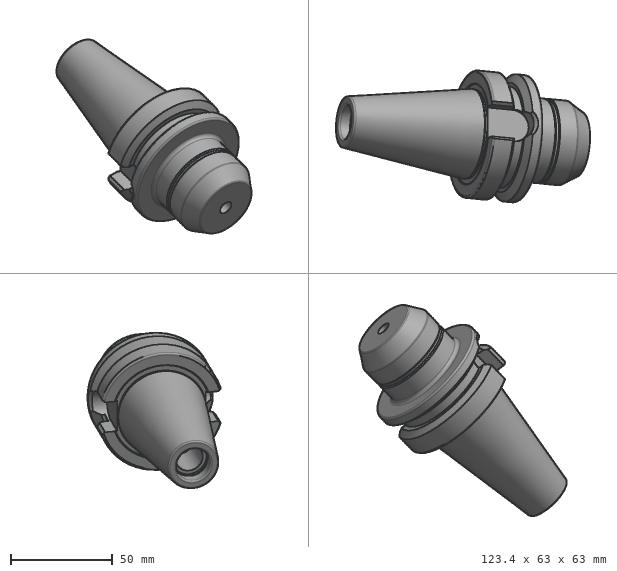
import cadquery as cq
import math

length = 123.4
taper_end = 65.2
neck_start = 65.6
relief_face = 66.6
flange_face = 66.3
flange_back = 77.0
v_groove_start = 79.2
v_groove_end = 84.5
collar_start = 87.1
collar_face = 92.3
nose_start = 114.6

taper_small_radius = 12.8
taper_large_radius = 22.3
neck_radius = 44.0 / 2
relief_radius = 24.7
flange_radius = 63.0 / 2
v_groove_floor_radius = 25.2
body_radius = 42 / 2
nose_angle = 30
v_groove_flank_angle = 60

rim_round = 1.0
taper_round = 0.9
body_fillet = 1.9
nose_round = 0.9
relief_bevel = relief_face - flange_face

body_groove_start = 102.8
body_groove_floor_start = 103.7
body_groove_floor_end = 105.0
body_groove_end = 105.5
body_groove_radius = 41.0 / 2

slot_half_width = 8.0
slot_floor = 22.5
slot_center_x = 80.2
wall_bevel_start = 28.6
end_bevel_start = 29.9

counterbore_radius = 17.0 / 2
counterbore_depth = 6.0
bore_mouth_round = 1.0
bore_undercut_radius = 17.6 / 2
bore_undercut_start = 6.9
bore_undercut_end = 9.0
thread_radius = 13.8 / 2
thread_depth = 29.6
through_radius = 6.9 / 2
drill_point_half_angle = 59


def corner_arc(start, corner, end):
    """Midpoint of a quarter round that replaces a square corner."""
    center = (start[0] + end[0] - corner[0], start[1] + end[1] - corner[1])
    return tuple(c + (p - c) * math.sqrt(0.5) for c, p in zip(center, corner))


def rounded_corner(outline, start, corner, end):
    """Draw up to a square corner and round it."""
    return outline.lineTo(*start).threePointArc(corner_arc(start, corner, end), end)


def revolve_about_x(outline):
    return outline.close().revolve(360, (0, 0, 0), (1, 0, 0))


def make_body():
    flank_run = math.tan(math.radians(v_groove_flank_angle))
    front_flank_radius = flange_radius - (v_groove_start - flange_back) * flank_run
    rear_flank_radius = flange_radius - (collar_start - v_groove_end) * flank_run
    nose_end_radius = body_radius - (length - nose_start) * math.tan(math.radians(nose_angle))

    outline = rounded_corner(
        cq.Workplane("XY").moveTo(0, 0),
        (0, taper_small_radius - taper_round),
        (0, taper_small_radius),
        (taper_round, taper_small_radius),
    )
    outline = (
        outline.lineTo(taper_end, taper_large_radius)
        .lineTo(neck_start, neck_radius)
        .lineTo(relief_face, neck_radius)
        .lineTo(relief_face, relief_radius)
        .lineTo(flange_face, relief_radius + relief_bevel)
    )
    outline = rounded_corner(
        outline,
        (flange_face, flange_radius - rim_round),
        (flange_face, flange_radius),
        (flange_face + rim_round, flange_radius),
    )
    outline = (
        outline.lineTo(flange_back, flange_radius)
        .lineTo(v_groove_start, front_flank_radius)
        .lineTo(v_groove_start, v_groove_floor_radius)
        .lineTo(v_groove_end, v_groove_floor_radius)
        .lineTo(v_groove_end, rear_flank_radius)
        .lineTo(collar_start, flange_radius)
    )
    outline = rounded_corner(
        outline,
        (collar_face - rim_round, flange_radius),
        (collar_face, flange_radius),
        (collar_face, flange_radius - rim_round),
    )
    outline = rounded_corner(
        outline,
        (collar_face, body_radius + body_fillet),
        (collar_face, body_radius),
        (collar_face + body_fillet, body_radius),
    )
    outline = (
        outline.lineTo(body_groove_start, body_radius)
        .lineTo(body_groove_floor_start, body_groove_radius)
        .lineTo(body_groove_floor_end, body_groove_radius)
        .lineTo(body_groove_end, body_radius)
        .lineTo(nose_start, body_radius)
        .lineTo(length, nose_end_radius)
        .lineTo(length, 0)
    )
    body = revolve_about_x(outline)
    nose_edges = cq.selectors.BoxSelector(
        (nose_start - nose_round, -flange_radius, -flange_radius),
        (length + nose_round, flange_radius, flange_radius),
        boundingbox=True,
    )
    return body.edges(nose_edges).edges("%CIRCLE").fillet(nose_round)


def make_bore():
    """Stepped bore with a rounded mouth, threaded hole and drill point."""
    point_length = (thread_radius - through_radius) / math.tan(math.radians(drill_point_half_angle))
    mouth_radius = counterbore_radius + bore_mouth_round
    mouth_mid = (
        bore_mouth_round * (1 - math.sqrt(0.5)),
        mouth_radius - bore_mouth_round * math.sqrt(0.5),
    )
    outline = (
        cq.Workplane("XY")
        .moveTo(0, 0)
        .lineTo(0, mouth_radius)
        .threePointArc(mouth_mid, (bore_mouth_round, counterbore_radius))
        .lineTo(counterbore_depth, counterbore_radius)
        .lineTo(bore_undercut_start, bore_undercut_radius)
        .lineTo(bore_undercut_end, bore_undercut_radius)
        .lineTo(bore_undercut_end, thread_radius)
        .lineTo(thread_depth, thread_radius)
        .lineTo(thread_depth + point_length, through_radius)
        .lineTo(length, through_radius)
        .lineTo(length, 0)
    )
    return revolve_about_x(outline)


def make_slot():
    """Round-ended driving slot on the -Y side, with bevelled outer edges."""
    run = slot_center_x - taper_end
    slot_depth = flange_radius - slot_floor
    slot_plane = cq.Workplane("XZ", origin=(slot_center_x, -slot_floor, 0))
    slot = slot_plane.circle(slot_half_width).extrude(slot_depth)
    slot = slot.union(
        slot_plane.center(-run / 2, 0).rect(run, 2 * slot_half_width).extrude(slot_depth)
    )

    wall_bevel = flange_radius - wall_bevel_start
    walls = (
        cq.Workplane("YZ", origin=(taper_end, 0, 0))
        .polyline([
            (-wall_bevel_start, -slot_half_width),
            (-flange_radius, -slot_half_width - wall_bevel),
            (-flange_radius, slot_half_width + wall_bevel),
            (-wall_bevel_start, slot_half_width),
        ])
        .close()
        .extrude(run)
    )

    end_bevel = flange_radius - end_bevel_start
    end = cq.Workplane(cq.Solid.makeCone(
        slot_half_width,
        slot_half_width + end_bevel,
        end_bevel,
        cq.Vector(slot_center_x, -end_bevel_start, 0),
        cq.Vector(0, -1, 0),
    ))
    return slot.union(walls).union(end)


slot = make_slot()
result = make_body().cut(make_bore()).cut(slot).cut(slot.mirror("XZ"))